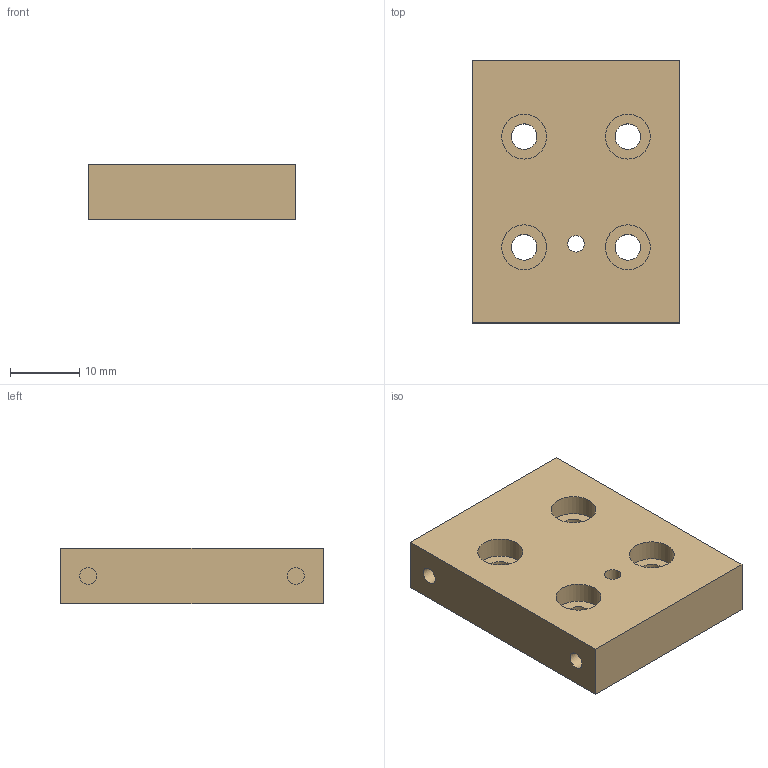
import cadquery as cq

width = 30.0
length = 37.9
thickness = 8.0

hole_spacing_x = 15.0
hole_spacing_y = 16.0
hole_diameter = 3.7
counterbore_diameter = 6.5
counterbore_depth = 3.0

pin_diameter = 2.4
pin_y = -7.5

side_hole_diameter = 2.45
side_hole_depth = 8.0
side_hole_spacing = 30.0


def make_plate():
    return cq.Workplane("XY").box(width, length, thickness)


def cut_mounting_holes(body):
    return (
        body.faces(">Z")
        .workplane(origin=(0, 0, 0))
        .rarray(hole_spacing_x, hole_spacing_y, 2, 2)
        .cboreHole(hole_diameter, counterbore_diameter, counterbore_depth)
    )


def cut_pin_hole(body):
    return body.faces(">Z").workplane(origin=(0, pin_y, 0)).hole(pin_diameter)


def cut_side_holes(body):
    return (
        body.faces("<X")
        .workplane(origin=(0, 0, 0))
        .rarray(side_hole_spacing, 1, 2, 1)
        .hole(side_hole_diameter, side_hole_depth)
    )


plate = make_plate()
plate = cut_mounting_holes(plate)
plate = cut_pin_hole(plate)
result = cut_side_holes(plate)